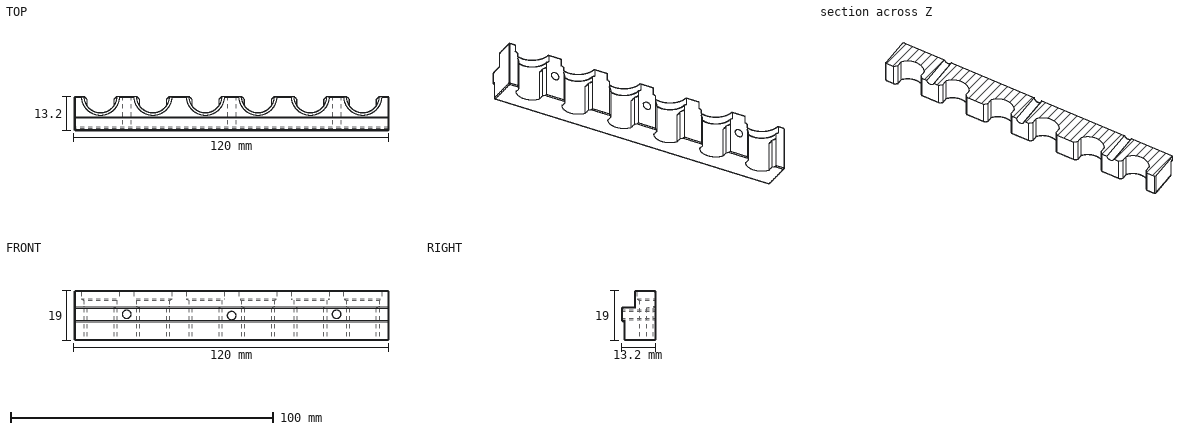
import cadquery as cq
import math

length = 120.0
depth = 13.2
height = 19.0
edge_chamfer = 0.4

top_land_depth = 8.2
rib_projection = 1.0
rib_bottom = 7.15
rib_top = 12.85
rib_chamfer = 0.55

notch_count = 6
notch_pitch = length / notch_count
bore_radius = 6.27
seat_ledge = 1.0
seat_radius = bore_radius + seat_ledge
seat_depth = 3.2
lip_top = 13.0
mouth_width = 10.2
half_mouth = mouth_width / 2
lip_width = bore_radius - half_mouth

slope_angle = 30.0
slope_rise = math.tan(math.radians(slope_angle))
seat_taper = seat_ledge * slope_rise
lip_taper = lip_width * slope_rise

screw_diameter = 3.2
end_hole_spacing = 80.0
end_hole_height = 10.0
middle_hole_height = 9.5


def make_bar():
    """Stepped bar with chamfered outer edges."""
    land_front = depth - top_land_depth
    c = edge_chamfer
    profile = [
        (depth - c, 0),
        (depth, c),
        (depth, height - c),
        (depth - c, height),
        (land_front + c, height),
        (land_front, height - c),
        (land_front, rib_top),
        (rib_chamfer, rib_top),
        (0, rib_top - rib_chamfer),
        (0, rib_bottom + rib_chamfer),
        (rib_chamfer, rib_bottom),
        (rib_projection, rib_bottom),
        (rib_projection, c),
        (rib_projection + c, 0),
    ]
    bar = cq.Workplane("YZ").polyline(profile).close().extrude(length)
    return bar.faces("<X or >X").chamfer(c)


def make_notch():
    """Cutter for one through notch, its axis on the Z axis and its mouth toward +Y."""
    taper_bottom = height - seat_depth - seat_taper
    bore_and_seat = (
        cq.Workplane("XZ")
        .polyline([
            (0, lip_top),
            (bore_radius, lip_top),
            (bore_radius, taper_bottom),
            (seat_radius, taper_bottom + seat_taper),
            (seat_radius, height),
            (0, height),
        ])
        .close()
        .revolve(360, (0, 0, 0), (0, 1, 0))
    )

    lip_bottom = lip_top - lip_taper
    throat = (
        cq.Workplane("XZ")
        .polyline([
            (-half_mouth, 0),
            (half_mouth, 0),
            (half_mouth, lip_bottom),
            (bore_radius, lip_top),
            (-bore_radius, lip_top),
            (-half_mouth, lip_bottom),
        ])
        .close()
        .extrude(bore_radius, both=True)
    )
    lower_bore = cq.Workplane("XY").circle(bore_radius).extrude(lip_top).intersect(throat)

    lead_in = (
        cq.Workplane("XY")
        .polyline([
            (-half_mouth, -lip_width),
            (half_mouth, -lip_width),
            (bore_radius, 0),
            (-bore_radius, 0),
        ])
        .close()
        .extrude(lip_top)
    )
    return bore_and_seat.union(lower_bore).union(lead_in)


def make_screw_hole(x, z):
    """Cutter for one screw hole running the full depth of the bar."""
    start = cq.Vector(x, 0, z)
    along_y = cq.Vector(0, 1, 0)
    return cq.Workplane(cq.Solid.makeCylinder(screw_diameter / 2, depth, start, along_y))


result = make_bar()

notch = make_notch()
for index in range(notch_count):
    notch_x = (index + 0.5) * notch_pitch
    result = result.cut(notch.translate((notch_x, depth, 0)))

middle_x = length / 2
result = result.cut(make_screw_hole(middle_x, middle_hole_height))
for side in (-1, 1):
    end_hole_x = middle_x + side * end_hole_spacing / 2
    result = result.cut(make_screw_hole(end_hole_x, end_hole_height))